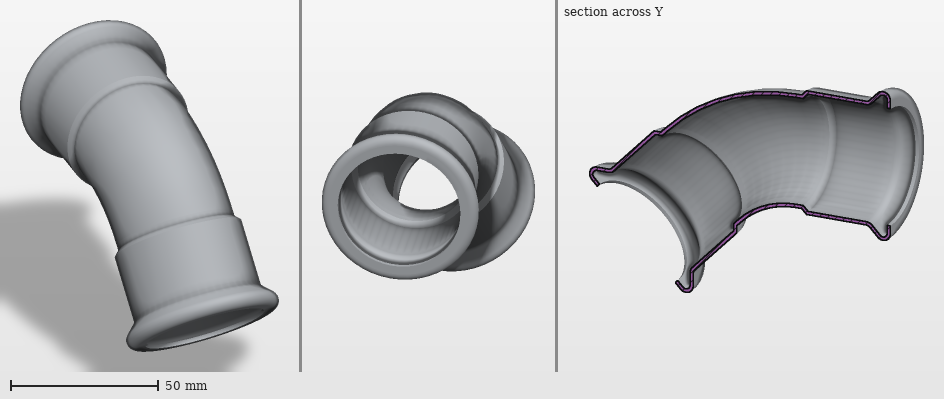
import cadquery as cq
import math

wall = 1.4
bend_angle = 45
overall_length = 115.2
socket_radius = 22.5
tube_radius = 20.6
socket_end = 32.1
end_length = 35.9
bead_radius = 2.9
rim_radius = 27.0
neck_fillet = 2.0

bead_center_y = rim_radius - bead_radius
step_end = socket_end + socket_radius - tube_radius
neck_center_y = socket_radius + neck_fillet
diagonal = math.sqrt(0.5)
far_bead_reach = diagonal * (end_length - bead_radius + bead_center_y) + bead_radius
bend_radius = (overall_length - end_length - far_bead_reach) / diagonal
flank_sum = bead_radius + bead_center_y + bead_radius / diagonal
neck_center_x = flank_sum - neck_center_y + neck_fillet / diagonal


def arc_point(center_x, center_y, radius, degrees):
    angle = math.radians(degrees)
    return (center_x + radius * math.cos(angle), center_y + radius * math.sin(angle))


def revolve_socket(offset):
    """Solid socket bounded by the outer surface moved inward by offset."""
    bead = bead_radius - offset
    neck = neck_fillet + offset
    step_shift = offset * math.tan(math.radians(bend_angle / 2))
    profile = (
        cq.Workplane("XY")
        .moveTo(offset, 0)
        .lineTo(offset, bead_center_y)
        .threePointArc(
            arc_point(bead_radius, bead_center_y, bead, 112.5),
            arc_point(bead_radius, bead_center_y, bead, 45),
        )
        .lineTo(*arc_point(neck_center_x, neck_center_y, neck, 225))
        .threePointArc(
            arc_point(neck_center_x, neck_center_y, neck, 247.5),
            arc_point(neck_center_x, neck_center_y, neck, 270),
        )
        .lineTo(socket_end - step_shift, socket_radius - offset)
        .lineTo(step_end - step_shift, tube_radius - offset)
        .lineTo(end_length, tube_radius - offset)
        .lineTo(end_length, 0)
        .close()
    )
    return profile.revolve(360, (0, 0, 0), (1, 0, 0))


def make_socket():
    mouth = cq.Workplane("YZ").circle(socket_radius - wall).extrude(bead_radius)
    return revolve_socket(0).cut(revolve_socket(wall)).cut(mouth)


def make_bend():
    return (
        cq.Workplane("YZ", origin=(end_length, 0, 0))
        .circle(tube_radius)
        .circle(tube_radius - wall)
        .revolve(bend_angle, (-1.2, -bend_radius, 0), (1.2, -bend_radius, 0))
    )


def mirror_to_far_end(socket):
    """Reflect across the plane that bisects the bend."""
    half_angle = math.radians(bend_angle / 2)
    bisector = cq.Plane(
        origin=(end_length, 0, -bend_radius),
        xDir=(0, 1, 0),
        normal=(math.cos(half_angle), 0, -math.sin(half_angle)),
    )
    local = socket.val().moved(cq.Location(bisector).inverse)
    return cq.Workplane(local.mirror("XY").moved(cq.Location(bisector)))


near_socket = make_socket()
far_socket = mirror_to_far_end(near_socket)
result = near_socket.union(make_bend()).union(far_socket)